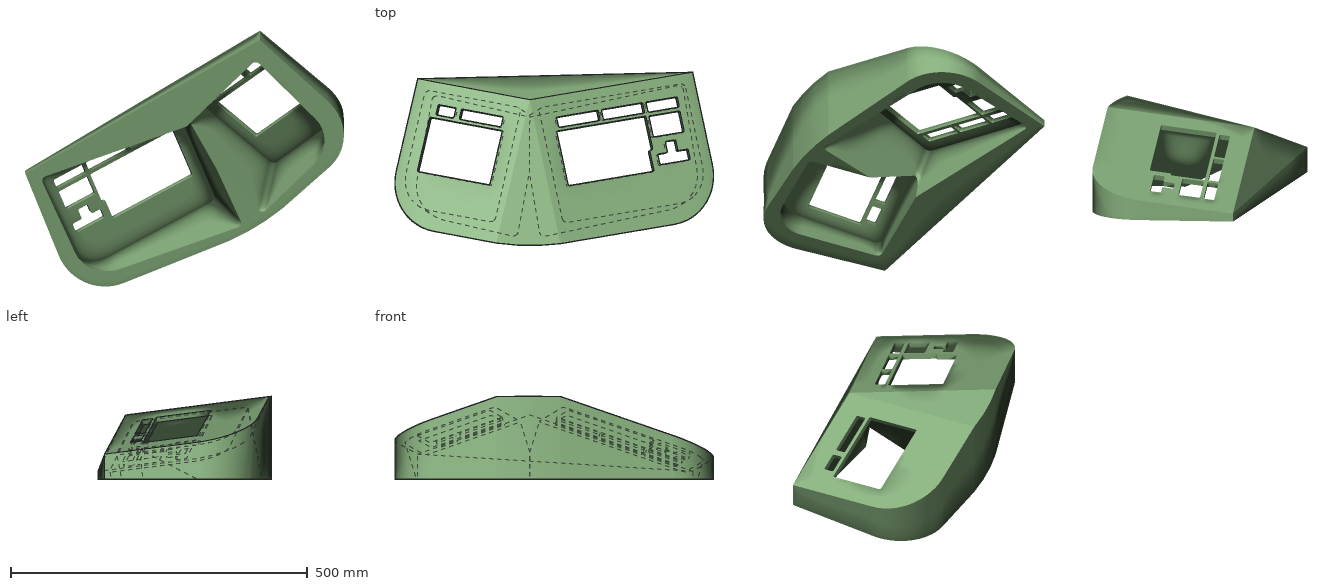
import cadquery as cq
import math

apex_height = 108.7
crease_rise = 31.1
front_bulge = 3.7
corner_radius = 90.0

skin = 9.0
cavity_margin = 15.0
front_margin = 35.0
cavity_radius = 9.0
cavity_front_radius = corner_radius - front_margin

cutout_radius = 2.5
row_back = 36.7
row_front = 54.5
window_back = 60.2
window_front = 154.9

apex = cq.Vector(0, 0, apex_height)
beyond = 400.0


class Panel:
    """A flat sloping panel with its own frame at the apex.

    `along` runs down the back edge (coordinate a), `forward` runs up the crease
    (coordinate b) and `normal` points out of the panel. `side` is -1 to the left, 1 to the right.
    """

    def __init__(self, side, width, bearing, pitch, crease_reach):
        bearing = math.radians(bearing)
        pitch = math.radians(pitch)
        self.width = width
        self.along = cq.Vector(
            side * math.cos(bearing) * math.cos(pitch),
            math.sin(bearing) * math.cos(pitch),
            -math.sin(pitch),
        )
        crease_x = (crease_reach * self.along.y - crease_rise * self.along.z) / self.along.x
        crease = cq.Vector(crease_x, -crease_reach, crease_rise)
        self.depth = crease.Length
        self.forward = crease.normalized()
        self.normal = self.forward.cross(self.along) * side
        self.plane = cq.Plane(origin=apex, xDir=self.along, normal=self.normal)
        self.b_sign = -side

    def at(self, a, b, below=0.0):
        return apex + self.along * a + self.forward * b - self.normal * below

    def sketch(self, points, below=0.0):
        """Closed outline on the panel, or on a parallel plane below it."""
        flat = [(a, b * self.b_sign) for a, b in points]
        return cq.Workplane(self.plane).workplane(offset=-below).polyline(flat).close()


left = Panel(side=-1, width=203.6, bearing=10.6, pitch=18.95, crease_reach=241.9)
right = Panel(side=1, width=294.1, bearing=9.6, pitch=18.85, crease_reach=242.8)


def rectangle(a0, a1, b0, b1):
    return [(a0, b0), (a1, b0), (a1, b1), (a0, b1)]


left_openings = [
    rectangle(35.5, 167.0, window_back, window_front),
    rectangle(125.0, 157.4, row_back, row_front),
    rectangle(39.5, 115.2, row_back, row_front),
]

window_crease_side = 35.2
window_wide = 196.0
window_narrow = 190.0
window_step = 118.5
right_window = [
    (window_crease_side, window_back),
    (window_wide, window_back),
    (window_wide, window_step),
    (window_narrow, window_step),
    (window_narrow, window_front),
    (window_crease_side, window_front),
]

bar_start, bar_end = 202.8, 257.5
stem_start, stem_end = 220.5, 239.2
stem_back, bar_back, bar_front = 108.2, 127.4, 145.8
tee = [
    (stem_start, stem_back),
    (stem_end, stem_back),
    (stem_end, bar_back),
    (bar_end, bar_back),
    (bar_end, bar_front),
    (bar_start, bar_front),
    (bar_start, bar_back),
    (stem_start, bar_back),
]

right_openings = [
    right_window,
    tee,
    rectangle(40.0, 115.0, row_back, row_front),
    rectangle(121.0, 195.3, row_back, row_front),
    rectangle(201.5, 258.0, row_back, row_front),
    rectangle(201.5, 257.3, 61.0, 97.5),
]


def line(start, end):
    return cq.Edge.makeLine(start, end)


def drop(*edges):
    """Solid between a flat roof face, given by its edges, and a level below the ground."""
    roof = cq.Wire.assembleEdges(edges)
    return cq.Workplane(obj=cq.Solid.extrudeLinear(roof, [], cq.Vector(0, 0, -beyond)))


def panel_block(panel):
    w, d, r = panel.width, panel.depth, corner_radius
    mid = r * (1 - math.sqrt(0.5))
    back_corner = panel.at(w, 0)
    crease_front = panel.at(0, d)
    arc_start = panel.at(w, d - r)
    arc_end = panel.at(w - r, d)
    return drop(
        line(apex, back_corner),
        line(back_corner, arc_start),
        cq.Edge.makeThreePointArc(arc_start, panel.at(w - mid, d - mid), arc_end),
        line(arc_end, crease_front),
        line(crease_front, apex),
    )


def wedge_block():
    """Middle wedge between the two creases, with a curved front."""
    left_end = left.at(0, left.depth)
    right_end = right.at(0, right.depth)
    chord_middle = (left_end + right_end) * 0.5
    arc_middle = chord_middle + (chord_middle - apex).normalized() * front_bulge
    return drop(
        line(apex, left_end),
        cq.Edge.makeThreePointArc(left_end, arc_middle, right_end),
        line(right_end, apex),
    )


def back_block():
    """Sloping triangle that closes the notch between the two back edges."""
    left_corner = left.at(left.width, 0)
    right_corner = right.at(right.width, 0)
    return drop(line(apex, left_corner), line(left_corner, right_corner), line(right_corner, apex))


def cavity(panel):
    """Hollow below a panel, square to it and open at the ground."""
    a0, a1 = cavity_margin, panel.width - cavity_margin
    b0, b1 = cavity_margin, panel.depth - front_margin
    block = panel.sketch(rectangle(a0, a1, b0, b1), below=skin).extrude(-beyond)
    corners = [
        (a1, b1, cavity_front_radius),
        (a0, b0, cavity_radius),
        (a1, b0, cavity_radius),
        (a0, b1, cavity_radius),
    ]
    for a, b, radius in corners:
        edge_middle = panel.at(a, b, below=skin + beyond / 2)
        upright = block.edges(cq.selectors.ParallelDirSelector(panel.normal))
        corner_edge = upright.edges(cq.selectors.NearestToPointSelector(edge_middle.toTuple()))
        block = corner_edge.fillet(radius)
    return block


def cutout(panel, points):
    """Opening through the panel with rounded corners."""
    block = panel.sketch(points).extrude(2 * skin, both=True)
    return block.edges(cq.selectors.ParallelDirSelector(panel.normal)).fillet(cutout_radius)


above_ground = cq.Workplane().box(4 * beyond, 4 * beyond, beyond, centered=(True, True, False))
body = panel_block(left).union(panel_block(right)).union(wedge_block()).union(back_block())
body = body.intersect(above_ground)

for panel, openings in ((left, left_openings), (right, right_openings)):
    body = body.cut(cavity(panel))
    for points in openings:
        body = body.cut(cutout(panel, points))

result = body